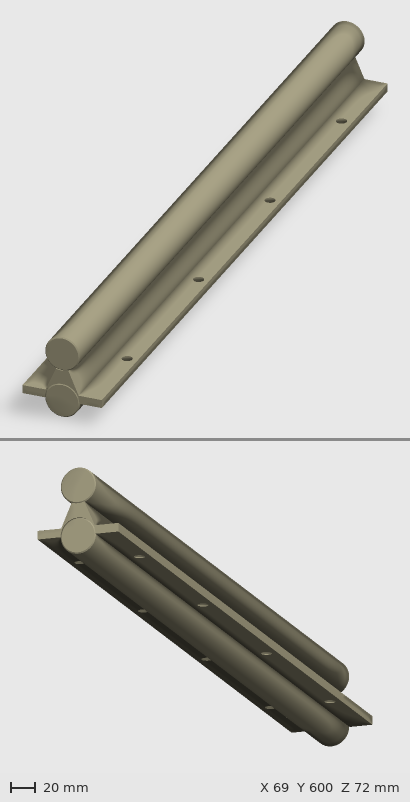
import cadquery as cq
import math

length = 600.0
rod_diameter = 30.0
end_chamfer = 0.95
rod_spacing = 42.0
flange_width = 69.0
flange_thickness = 7.0
key_width = 17.0
key_height = 11.0
web_top_width = 11.0
web_bottom_width = 29.0
hole_diameter = 9.0
hole_spacing_x = 51.0
hole_pitch = 150.0
hole_rows = 4

radius = rod_diameter / 2
base_z = radius
rail_z = base_z + rod_spacing
flange_top_z = base_z + flange_thickness
web_top_x = web_top_width / 2
web_top_z = rail_z - math.sqrt(radius**2 - web_top_x**2)
web_bottom_x = web_bottom_width / 2


def profile_plane():
    """XZ sketch plane at the rear end; extrusion runs toward -Y."""
    return cq.Workplane("XZ", origin=(0, length / 2, 0))


def bar(center_z, width, height):
    """Full-length rectangular bar, centered on X = 0 at height center_z."""
    return profile_plane().center(0, center_z).rect(width, height).extrude(length)


def round_bar(axis_z):
    return profile_plane().center(0, axis_z).circle(radius).extrude(length)


def chamfered_bar(axis_z):
    """Round bar with both ends chamfered."""
    return round_bar(axis_z).faces("<Y or >Y").chamfer(end_chamfer)


def key_bar():
    """Key that locates the saddle on the lower rod."""
    return bar(base_z + key_height / 2, key_width, key_height)


def make_rail():
    return chamfered_bar(rail_z)


def make_support():
    """Tapered web cradling the rail, with drilled flanges and a half-round seat below."""
    web = (
        profile_plane()
        .moveTo(-web_bottom_x, flange_top_z)
        .lineTo(web_bottom_x, flange_top_z)
        .lineTo(web_top_x, web_top_z)
        .threePointArc((0, rail_z - radius), (-web_top_x, web_top_z))
        .close()
        .extrude(length)
    )
    flanges = bar(base_z + flange_thickness / 2, flange_width, flange_thickness)
    holes = (
        cq.Workplane("XY", origin=(0, 0, base_z))
        .rarray(hole_spacing_x, hole_pitch, 2, hole_rows)
        .circle(hole_diameter / 2)
        .extrude(flange_thickness)
    )
    return web.union(flanges).cut(round_bar(base_z)).cut(holes)


def make_saddle():
    """Half-round saddle in the support's seat, with a keyway in its flat underside."""
    upper_half = bar(base_z + radius / 2, rod_diameter, radius)
    return chamfered_bar(base_z).intersect(upper_half).cut(key_bar())


def make_lower_rod():
    """Half-round rod with the key on its flat top."""
    lower_half = bar(base_z - radius / 2, rod_diameter, radius)
    return chamfered_bar(base_z).intersect(lower_half).union(key_bar())


rail = make_rail()
support = make_support()
saddle = make_saddle()
lower_rod = make_lower_rod()

result = cq.Compound.makeCompound([rail.val(), support.val(), saddle.val(), lower_rod.val()])